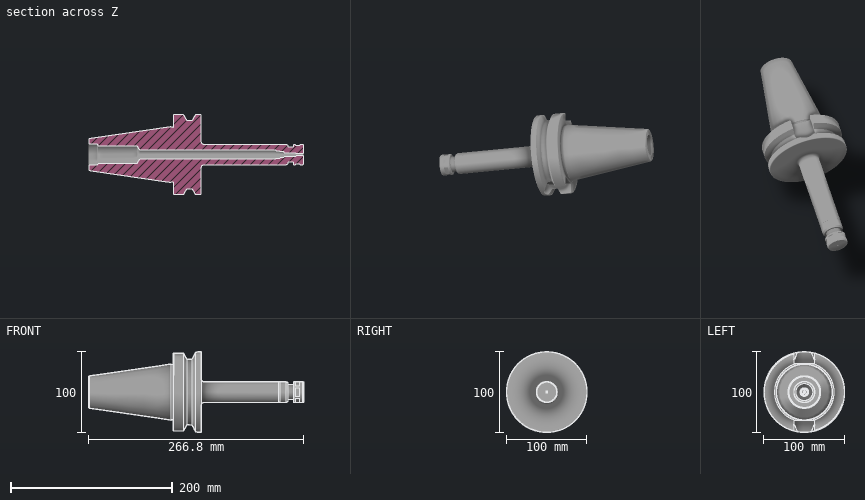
import cadquery as cq
import math


gauge_dia = 69.85
taper_length = 101.8
taper_ratio = 7 / 24
tail_chamfer = 1.0
neck_radius = 34.3
neck_step = 0.5
relief_start = 2.0
relief_depth = 0.3
relief_outer_radius = 36.8

flange_front = 3.0
flange_back = 38.0
flange_radius = 50.0
flange_edge_radius = 1.0
groove_center = 23.2
groove_floor_radius = 42.7
groove_floor_width = 6.4
groove_half_angle = 30.0

slot_width = 25.7
slot_end = 33.7
slot_floor_height = 35.4

shank_radius = 13.0
shank_fillet = 3.0
shank_end = 145.3
shank_chamfer_length = 2.4
shank_chamfer_depth = 1.2
mark_groove_start = 133.4
mark_groove_width = 1.6
mark_groove_depth = 0.1
stem_radius = 9.5

nut_start = 151.8
nut_end = 165.0
nut_radius = 13.0
nut_chamfer = 0.7
nut_nose_chamfer_length = 1.8
flat_start = 154.5
flat_end = 159.6
flat_count = 6
flat_distance = 11.9

mouth_dia = 25.4
mouth_chamfer = 0.4
mouth_depth = 10.5
step_cone_length = 1.5
thread_dia = 21.0
thread_depth = 60.0
drill_point_angle = 118.0
channel_dia = 10.5
channel_end = 130.0
seat_dia = 8.8
seat_end = 135.0
stop_bore_dia = 7.0
stop_bore_end = 140.0
coolant_dia = 3.5
coolant_end = 155.0
nozzle_dia = 1.7

tail_x = -taper_length
gauge_radius = gauge_dia / 2
tail_radius = gauge_radius - taper_length * taper_ratio / 2


def revolve_profile(points):
    """Close an (x, radius) outline and turn it about the X axis."""
    return cq.Workplane("XY").polyline(points).close().revolve(360, (0, 0, 0), (1, 0, 0))


def cylinder(start, end, radius):
    return cq.Workplane("YZ", origin=(start, 0, 0)).circle(radius).extrude(end - start)


def make_taper():
    chamfer_radius = tail_radius + tail_chamfer * taper_ratio / 2
    return revolve_profile([
        (tail_x, 0),
        (tail_x, tail_radius - tail_chamfer),
        (tail_x + tail_chamfer, chamfer_radius),
        (0, gauge_radius),
        (neck_step, neck_radius),
        (flange_front, neck_radius),
        (flange_front, 0),
    ])


def make_flange():
    flare = (flange_radius - groove_floor_radius) * math.tan(math.radians(groove_half_angle))
    half_floor = groove_floor_width / 2
    half_mouth = half_floor + flare
    blank = cylinder(flange_front, flange_back, flange_radius).edges().fillet(flange_edge_radius)
    groove = revolve_profile([
        (groove_center - half_mouth, flange_radius),
        (groove_center - half_floor, groove_floor_radius),
        (groove_center + half_floor, groove_floor_radius),
        (groove_center + half_mouth, flange_radius),
    ])
    return blank.cut(groove)


def make_relief():
    """Undercut in the corner between the neck and the front face of the flange."""
    relief_bottom = flange_front + relief_depth
    return revolve_profile([
        (relief_start, neck_radius),
        (relief_bottom, neck_radius - relief_depth),
        (relief_bottom, relief_outer_radius),
        (flange_front, relief_outer_radius),
        (flange_front, flange_radius),
        (relief_start, flange_radius),
    ])


def make_driving_slot():
    """Cutter for the +Z slot: a flat floor and a half-round end."""
    half_width = slot_width / 2
    arc_center = slot_end - half_width
    return (
        cq.Workplane("XY", origin=(0, 0, slot_floor_height))
        .moveTo(0, -half_width)
        .lineTo(arc_center, -half_width)
        .threePointArc((slot_end, 0), (arc_center, half_width))
        .lineTo(0, half_width)
        .close()
        .extrude(flange_radius)
    )


def make_shank():
    fillet_mid = shank_fillet * (1 - math.sqrt(0.5))
    mark_radius = shank_radius - mark_groove_depth
    mark_groove_end = mark_groove_start + mark_groove_width
    return (
        cq.Workplane("XY")
        .moveTo(flange_back, 0)
        .lineTo(flange_back, shank_radius + shank_fillet)
        .threePointArc(
            (flange_back + fillet_mid, shank_radius + fillet_mid),
            (flange_back + shank_fillet, shank_radius),
        )
        .lineTo(mark_groove_start, shank_radius)
        .lineTo(mark_groove_start, mark_radius)
        .lineTo(mark_groove_end, mark_radius)
        .lineTo(mark_groove_end, shank_radius)
        .lineTo(shank_end - shank_chamfer_length, shank_radius)
        .lineTo(shank_end, shank_radius - shank_chamfer_depth)
        .lineTo(shank_end, 0)
        .close()
        .revolve(360, (0, 0, 0), (1, 0, 0))
    )


def make_nut():
    body = revolve_profile([
        (nut_start, 0),
        (nut_start, nut_radius - nut_chamfer),
        (nut_start + nut_chamfer, nut_radius),
        (nut_end - nut_nose_chamfer_length, nut_radius),
        (nut_end, nut_radius - nut_chamfer),
        (nut_end, 0),
    ])
    flat_cutter = cq.Workplane("XY").box(
        flat_end - flat_start, nut_radius, 2 * nut_radius, centered=(False, False, True)
    ).translate((flat_start, flat_distance, 0))
    for index in range(flat_count):
        angle = index * 360 / flat_count
        body = body.cut(flat_cutter.rotate((0, 0, 0), (1, 0, 0), angle))
    return body


def make_bore():
    mouth_radius = mouth_dia / 2
    thread_radius = thread_dia / 2
    channel_radius = channel_dia / 2
    cone_start = tail_x + thread_depth
    cone_length = (thread_radius - channel_radius) / math.tan(math.radians(drill_point_angle / 2))
    return revolve_profile([
        (tail_x, 0),
        (tail_x, mouth_radius + mouth_chamfer),
        (tail_x + mouth_chamfer, mouth_radius),
        (tail_x + mouth_depth, mouth_radius),
        (tail_x + mouth_depth + step_cone_length, thread_radius),
        (cone_start, thread_radius),
        (cone_start + cone_length, channel_radius),
        (channel_end, channel_radius),
        (channel_end, seat_dia / 2),
        (seat_end, seat_dia / 2),
        (seat_end, stop_bore_dia / 2),
        (stop_bore_end, stop_bore_dia / 2),
        (stop_bore_end, coolant_dia / 2),
        (coolant_end, coolant_dia / 2),
        (coolant_end, nozzle_dia / 2),
        (nut_end, nozzle_dia / 2),
        (nut_end, 0),
    ])


driving_slot = make_driving_slot()
opposite_slot = driving_slot.mirror("XY")

result = (
    make_taper()
    .union(make_flange())
    .cut(make_relief())
    .cut(driving_slot)
    .cut(opposite_slot)
    .union(make_shank())
    .union(cylinder(shank_end, nut_start, stem_radius))
    .union(make_nut())
    .cut(make_bore())
)